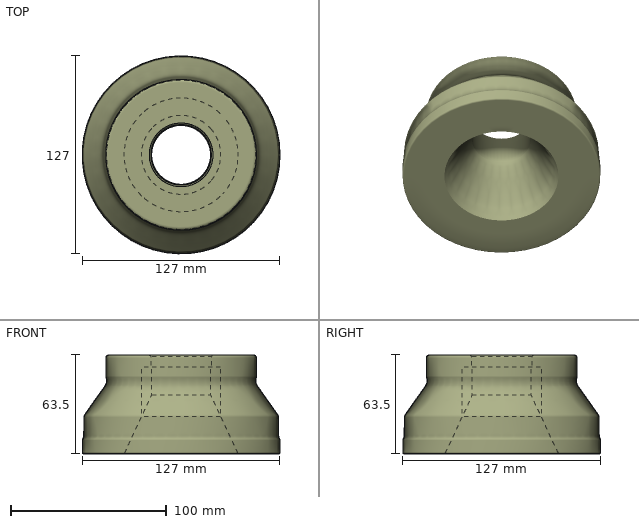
import cadquery as cq
import math

foot_radius = 63.5
height = 63.5

foot_bottom_round = 1.0
foot_top_round = 1.5
foot_top_round_z = 8.6
foot_step_angle = 32.0
foot_cove_radius = 4.2

skirt_top_radius = 62.5
skirt_top_z = 23.4
skirt_round = 3.0
cone_angle = 34.0

head_radius = 48.4
head_top_round = 2.0
head_bottom_round = 2.3
head_bottom_round_z = 49.8
neck_overhang_angle = 20.0
neck_cove_radius = 6.1

housing_bore_radius = 19.4
bore_chamfer = 1.0
insert_bore_radius = 18.9
insert_outer_radius = 25.4
insert_top_z = 55.9
insert_bore_end_z = 37.8

cavity_angle = 25.0
cavity_slope = math.tan(math.radians(cavity_angle))
insert_rim_z = insert_bore_end_z - (insert_outer_radius - insert_bore_radius) / cavity_slope


def polar(center, radius, degrees):
    """Point on a circle in the (radius, z) half-plane."""
    angle = math.radians(degrees)
    return (center[0] + radius * math.cos(angle), center[1] + radius * math.sin(angle))


def line_then_arc(profile, center, radius, start, end):
    """Draw a line to the start of a circular arc, then the arc itself."""
    return profile.lineTo(*polar(center, radius, start)).threePointArc(
        polar(center, radius, (start + end) / 2), polar(center, radius, end)
    )


def arc_on(profile, center, radius, start, end):
    """Draw a circular arc that begins where the profile now stands."""
    return profile.threePointArc(polar(center, radius, (start + end) / 2), polar(center, radius, end))


def cavity_radius(z):
    """Radius of the conical cavity at a given height."""
    return insert_bore_radius + (insert_bore_end_z - z) * cavity_slope


def make_housing():
    """Flared shell with a round head, revolved about Z."""
    foot_bottom_center = (foot_radius - foot_bottom_round, foot_bottom_round)
    foot_top_center = (foot_radius - foot_top_round, foot_top_round_z)
    foot_cove_center = polar(foot_top_center, foot_top_round + foot_cove_radius, foot_step_angle)
    skirt_center = (skirt_top_radius - skirt_round, skirt_top_z)
    head_bottom_center = (head_radius - head_bottom_round, head_bottom_round_z)
    neck_center = polar(head_bottom_center, head_bottom_round + neck_cove_radius, -neck_overhang_angle)
    head_top_center = (head_radius - head_top_round, height - head_top_round)

    profile = cq.Workplane("XZ").moveTo(cavity_radius(0), 0)
    profile = line_then_arc(profile, foot_bottom_center, foot_bottom_round, -90, 0)
    profile = line_then_arc(profile, foot_top_center, foot_top_round, 0, foot_step_angle)
    profile = arc_on(profile, foot_cove_center, foot_cove_radius, 180 + foot_step_angle, 180)
    profile = line_then_arc(profile, skirt_center, skirt_round, 0, cone_angle)
    profile = line_then_arc(
        profile, neck_center, neck_cove_radius, 180 + cone_angle, 180 - neck_overhang_angle
    )
    profile = arc_on(profile, head_bottom_center, head_bottom_round, -neck_overhang_angle, 0)
    profile = line_then_arc(profile, head_top_center, head_top_round, 0, 90)

    profile = (
        profile.lineTo(housing_bore_radius + bore_chamfer, height)
        .lineTo(housing_bore_radius, height - bore_chamfer)
        .lineTo(housing_bore_radius, insert_top_z)
        .lineTo(insert_outer_radius, insert_top_z)
        .lineTo(insert_outer_radius, insert_rim_z)
        .close()
    )
    return profile.revolve(360, (0, 0, 0), (0, 1, 0))


def make_insert():
    """Sleeve inside the housing, with a flared lower end that continues the cavity cone."""
    profile = (
        cq.Workplane("XZ")
        .moveTo(insert_bore_radius, insert_bore_end_z)
        .lineTo(insert_outer_radius, insert_rim_z)
        .lineTo(insert_outer_radius, insert_top_z)
        .lineTo(insert_bore_radius, insert_top_z)
        .close()
    )
    return profile.revolve(360, (0, 0, 0), (0, 1, 0))


housing = make_housing()
insert = make_insert()
result = cq.Compound.makeCompound([housing.val(), insert.val()])